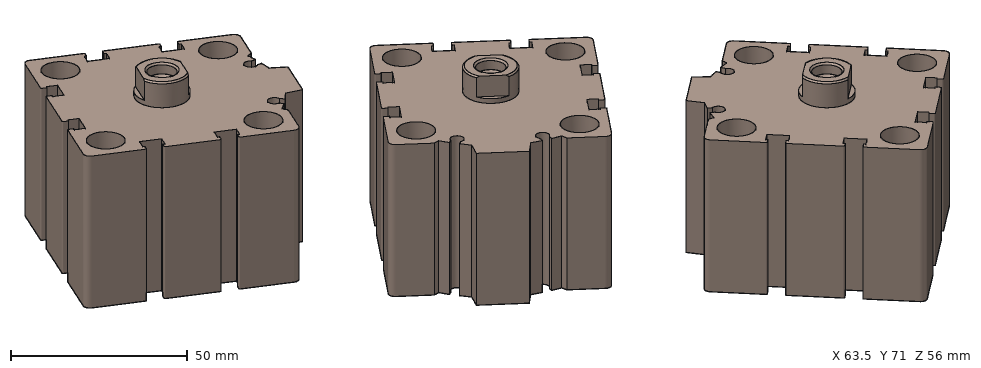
import cadquery as cq
import math

width = 63.5
total_length = 71.0
half = width / 2
total_height = 56.0
rod_projection = 8.0
housing_height = total_height - rod_projection
corner_radius = 2.0

nose_tip_y = total_length - half
nose_outline = [
    (18.8, half),
    (17.5, 30.3),
    (14.55, 31.75),
    (11.85, 32.7),
    (8.4, 33.95),
    (7.5, nose_tip_y),
]

keyhole_x = 12.15
keyhole_y = 29.6
keyhole_diameter = 4.0
keyhole_neck = 2.9
keyhole_neck_length = 4.25
keyhole_tilt = 21.0

slot_offset = 11.0
slot_depth = 5.1
slot_width = 6.5
slot_neck_width = 5.2
slot_neck_depth = 1.85
slot_lip_radius = 0.35

hole_offset = 23.2
hole_diameter = 6.7
hole_chamfer_diameter = 8.0
counterbore_diameter = 11.0
counterbore_depth = 6.8

rod_diameter = 16.0
rod_chamfer = 0.5
flats_width = 13.0
flats_start = 1.5
thread_diameter = 8.6
thread_chamfer_diameter = 9.7
thread_depth = 3.4
cone_diameter = 8.4
core_diameter = 6.8
core_depth = 5.7
drill_point_angle = 118.0


def housing_blank():
    """Square profile with rounded corners and the nose on +Y, extruded to full height."""
    right = [(half, -half), (half, half)] + nose_outline
    left = [(-x, y) for x, y in reversed(right)]
    blank = cq.Workplane("XY").polyline(right + left).close().extrude(housing_height)
    reach = corner_radius / 2
    for x in (-half, half):
        for y in (-half, half):
            corner = cq.selectors.BoxSelector(
                (x - reach, y - reach, 0),
                (x + reach, y + reach, housing_height),
            )
            blank = blank.edges("|Z").edges(corner).fillet(corner_radius)
    return blank


def t_slot(angle, offset):
    """T-slot cutter in the -Y side, turned about Z by the angle."""
    mouth = slot_neck_width / 2
    flare = mouth + slot_lip_radius
    lip = -half + slot_lip_radius
    bulge = slot_lip_radius * (1 - math.sqrt(0.5))
    shoulder = -half + slot_neck_depth
    floor = -half + slot_depth
    profile = (
        cq.Workplane("XY")
        .moveTo(offset - flare, -half)
        .threePointArc((offset - mouth - bulge, -half + bulge), (offset - mouth, lip))
        .lineTo(offset - mouth, shoulder)
        .lineTo(offset - slot_width / 2, shoulder)
        .lineTo(offset - slot_width / 2, floor)
        .lineTo(offset + slot_width / 2, floor)
        .lineTo(offset + slot_width / 2, shoulder)
        .lineTo(offset + mouth, shoulder)
        .lineTo(offset + mouth, lip)
        .threePointArc((offset + mouth + bulge, -half + bulge), (offset + flare, -half))
        .close()
    )
    return profile.extrude(housing_height).rotate((0, 0, 0), (0, 0, 1), angle)


def keyhole_groove(side):
    """Round groove with a tilted neck; side is +1 for +X and -1 for -X."""
    bore = cq.Workplane("XY").circle(keyhole_diameter / 2).extrude(housing_height)
    neck = (
        cq.Workplane("XY")
        .center(0, keyhole_neck_length / 2)
        .rect(keyhole_neck, keyhole_neck_length)
        .extrude(housing_height)
    )
    groove = bore.union(neck).rotate((0, 0, 0), (0, 0, 1), -side * keyhole_tilt)
    return groove.translate((side * keyhole_x, keyhole_y, 0))


def mounting_hole():
    """Through hole with a chamfered mouth at the floor of its counterbore."""
    seat = housing_height - counterbore_depth
    chamfer = (hole_chamfer_diameter - hole_diameter) / 2
    return (
        cq.Workplane("XZ")
        .polyline([
            (0, 0),
            (hole_diameter / 2, 0),
            (hole_diameter / 2, seat - chamfer),
            (hole_chamfer_diameter / 2, seat),
            (counterbore_diameter / 2, seat),
            (counterbore_diameter / 2, housing_height),
            (0, housing_height),
        ])
        .close()
        .revolve(360, (0, 0, 0), (0, 1, 0))
    )


def make_housing():
    body = housing_blank()
    for angle in (-90, 0, 90):
        for offset in (-slot_offset, slot_offset):
            body = body.cut(t_slot(angle, offset))
    for side in (-1, 1):
        body = body.cut(keyhole_groove(side))
    for x in (-hole_offset, hole_offset):
        for y in (-hole_offset, hole_offset):
            body = body.cut(mounting_hole().translate((x, y, 0)))
    return body


def rod_bore():
    """Chamfered blind hole from the rod's top: thread, cone, core and drill point."""
    top = rod_projection
    chamfer = (thread_chamfer_diameter - thread_diameter) / 2
    cone_height = (cone_diameter - core_diameter) / 2
    point = core_diameter / 2 / math.tan(math.radians(drill_point_angle / 2))
    return (
        cq.Workplane("XZ")
        .polyline([
            (0, top),
            (thread_chamfer_diameter / 2, top),
            (thread_diameter / 2, top - chamfer),
            (thread_diameter / 2, top - thread_depth),
            (cone_diameter / 2, top - thread_depth),
            (core_diameter / 2, top - thread_depth - cone_height),
            (core_diameter / 2, top - core_depth),
            (0, top - core_depth - point),
        ])
        .close()
        .revolve(360, (0, 0, 0), (0, 1, 0))
    )


def make_rod():
    """Rod end standing on the housing's top face, with two wrench flats."""
    rod = cq.Workplane("XY").circle(rod_diameter / 2).extrude(rod_projection)
    rod = rod.faces(">Z").edges().chamfer(rod_chamfer)
    for side in (-1, 1):
        flat_centre = side * (flats_width + rod_diameter) / 2
        flat = (
            cq.Workplane("XY", origin=(0, flat_centre, flats_start))
            .rect(rod_diameter, rod_diameter)
            .extrude(rod_projection)
        )
        rod = rod.cut(flat)
    return rod.cut(rod_bore()).translate((0, 0, housing_height))


housing = make_housing()
rod = make_rod()
result = cq.Compound.makeCompound([housing.val(), rod.val()])